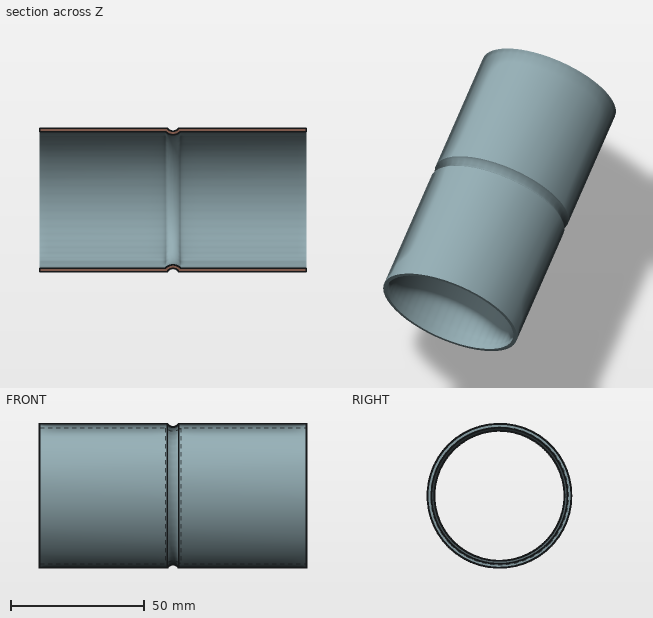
import cadquery as cq

length = 100.0
outer_radius = 27.0
wall = 1.5
groove_depth = 1.2
groove_width = 4.2

bore_radius = outer_radius - wall
middle = length / 2
half_groove = groove_width / 2

arc_radius = (half_groove**2 + groove_depth**2) / (2 * groove_depth)
arc_center_height = outer_radius - groove_depth + arc_radius
bead_arc_radius = arc_radius + wall
half_bead = (bead_arc_radius**2 - (arc_center_height - bore_radius) ** 2) ** 0.5
stop_radius = bore_radius - groove_depth

wall_section = (
    cq.Workplane("XY")
    .moveTo(0, bore_radius)
    .lineTo(middle - half_bead, bore_radius)
    .threePointArc((middle, stop_radius), (middle + half_bead, bore_radius))
    .lineTo(length, bore_radius)
    .lineTo(length, outer_radius)
    .lineTo(middle + half_groove, outer_radius)
    .threePointArc((middle, outer_radius - groove_depth), (middle - half_groove, outer_radius))
    .lineTo(0, outer_radius)
    .close()
)

result = wall_section.revolve(360, (0, 0, 0), (1, 0, 0))